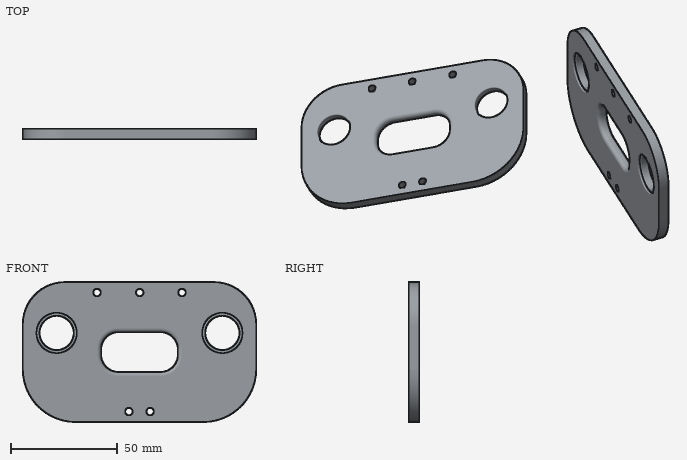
import cadquery as cq

plate_width = 110.0
plate_height = 66.0
plate_thickness = 5.0
top_corner_radius = 20.0
bottom_corner_radius = 25.0
front_y = -plate_thickness / 2

window_width = 36.0
window_height = 18.6
window_corner_radius = 8.0
window_rim_radius = 2.0

side_hole_x = 39.0
side_hole_z = 9.0
bore_diameter = 16.0
seat_diameter = 19.0
seat_depth = 1.1
edge_radius = 0.4

small_hole_diameter = 3.4
small_hole_edge_distance = 5.0
top_hole_spacing = 20.0
top_middle_hole_x = 0.1
bottom_hole_spacing = 10.0


def make_plate():
    """Flat plate with larger corner radii at the bottom than at the top."""
    plate = cq.Workplane("XY").box(plate_width, plate_thickness, plate_height)
    plate = plate.edges("|Y and >Z").fillet(top_corner_radius)
    return plate.edges("|Y and <Z").fillet(bottom_corner_radius)


def cut_window(plate):
    """Cut the rounded window and round its rim on both faces."""
    window = (
        cq.Workplane("XY")
        .box(window_width, plate_thickness, window_height)
        .edges("|Y")
        .fillet(window_corner_radius)
    )
    rim_region = cq.selectors.BoxSelector(
        (-window_width, -plate_thickness, -window_height),
        (window_width, plate_thickness, window_height),
    )
    plate = plate.cut(window)
    rim_edges = plate.faces("<Y or >Y").edges(rim_region)
    return rim_edges.fillet(window_rim_radius)


def stepped_hole_cutter(x):
    """Revolved cutter: seat and bore, with every rim rounded outwards."""
    bore_radius = bore_diameter / 2
    seat_radius = seat_diameter / 2
    cutter = (
        cq.Workplane("XY")
        .moveTo(0, 0)
        .lineTo(seat_radius + edge_radius, 0)
        .radiusArc((seat_radius, edge_radius), edge_radius)
        .lineTo(seat_radius, seat_depth)
        .lineTo(bore_radius + edge_radius, seat_depth)
        .radiusArc((bore_radius, seat_depth + edge_radius), edge_radius)
        .lineTo(bore_radius, plate_thickness - edge_radius)
        .radiusArc((bore_radius + edge_radius, plate_thickness), edge_radius)
        .lineTo(0, plate_thickness)
        .close()
        .revolve(360, (0, 0, 0), (0, 1, 0))
    )
    return cutter.translate((x, front_y, side_hole_z))


def small_hole_cutter(x, z):
    """Plain round cutter through the full plate thickness."""
    hole = cq.Workplane("XZ").circle(small_hole_diameter / 2).extrude(plate_thickness / 2, both=True)
    return hole.translate((x, 0, z))


def cut_side_holes(plate):
    """Cut the mirrored pair of stepped holes."""
    for side in (-1, 1):
        plate = plate.cut(stepped_hole_cutter(side * side_hole_x))
    return plate


def cut_small_holes(plate):
    """Cut three holes along the top edge and two along the bottom edge."""
    row_z = plate_height / 2 - small_hole_edge_distance
    for x in (-top_hole_spacing, top_middle_hole_x, top_hole_spacing):
        plate = plate.cut(small_hole_cutter(x, row_z))
    for side in (-1, 1):
        plate = plate.cut(small_hole_cutter(side * bottom_hole_spacing / 2, -row_z))
    return plate


result = make_plate()
result = cut_window(result)
result = cut_side_holes(result)
result = cut_small_holes(result)